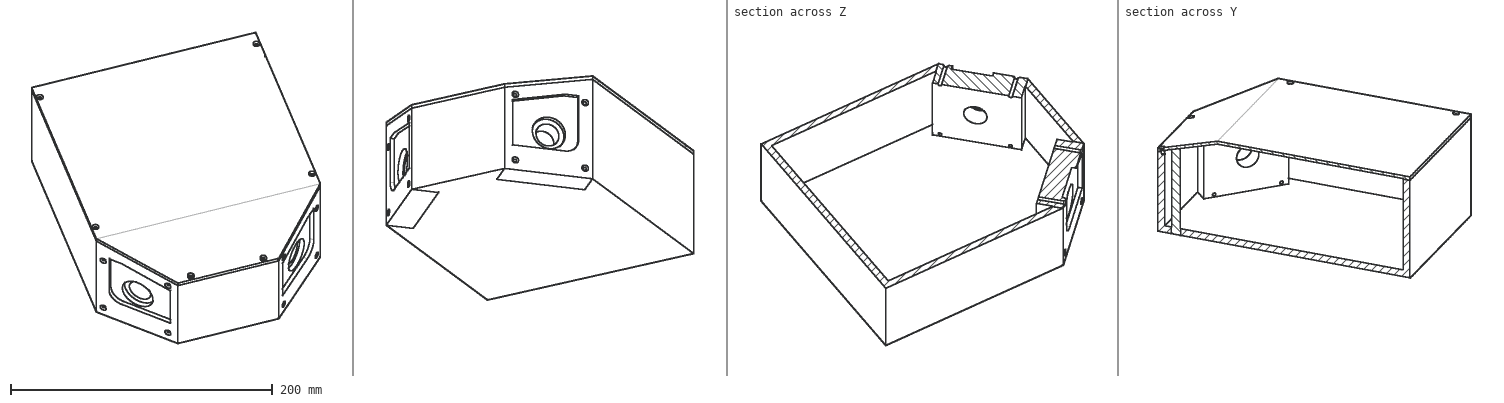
import cadquery as cq
import math

LENGTH = 209.5
WIDTH = 180.0
HEIGHT = 86.0
BODY_LENGTH = 160.0
NOSE_LENGTH = LENGTH - BODY_LENGTH
NOSE_HALF_WIDTH = WIDTH / 2 - NOSE_LENGTH
NOSE_DROP = 15.3
NOSE_SLOPE = NOSE_DROP / NOSE_LENGTH

WALL = 6.0
LID_THICKNESS = 3.0

SCREW_HEAD_DIAMETER = 5.0
SCREW_DIAMETER = 2.5
COUNTERSINK_ANGLE = 90.0
SCREW_EDGE_OFFSET = WALL / 2
LID_SCREW_REAR_X = 11.0
LID_SCREW_FRONT_X = 148.7
NOSE_SCREW_HALF_SPACING = 29.1
LID_SCREW_DEPTH = 5.9

PANEL_LENGTH = NOSE_LENGTH * math.sqrt(2)
PANEL_THICKNESS = 21.4
PANEL_SCREWS_ALONG = (5.9, PANEL_LENGTH - 8.5)
PANEL_SCREWS_Z = (8.2, 63.0)

RECESS_START = 10.9
RECESS_END = 63.5
RECESS_BOTTOM = 20.5
RECESS_TOP = 68.0
RECESS_END_TOP = 58.5
RECESS_FLAT = 10.9
RECESS_CORNER_RADIUS = 10.9
RECESS_DEPTH = 3.4
BORE_ALONG = 33.7
BORE_Z = 35.6
BORE_DIAMETER = 18.2
COUNTERBORE_DIAMETER = 26.2
COUNTERBORE_DEPTH = 4.0


def plan_outline():
    """Closed plan outline of the enclosure, ready to be extruded or offset."""
    half_width = WIDTH / 2
    outline = [
        (0, -half_width),
        (BODY_LENGTH, -half_width),
        (LENGTH, -NOSE_HALF_WIDTH),
        (LENGTH, NOSE_HALF_WIDTH),
        (BODY_LENGTH, half_width),
        (0, half_width),
    ]
    return cq.Workplane("XY").polyline(outline).close()


def roof_height(x, below_top):
    """Height of the roof line at x, lowered by below_top."""
    return HEIGHT - below_top - max(0, x - BODY_LENGTH) * NOSE_SLOPE


def under_roof(below_top):
    """Full-width block that lies under the roof line lowered by below_top."""
    profile = [(0, 0), (LENGTH, 0)]
    profile += [(x, roof_height(x, below_top)) for x in (LENGTH, BODY_LENGTH, 0)]
    return cq.Workplane("XZ").polyline(profile).close().extrude(WIDTH / 2, both=True)


def countersunk_cutter(depth):
    """Screw hole running from the origin in -Z, with its conical head seat at the top."""
    head_radius = SCREW_HEAD_DIAMETER / 2
    shank_radius = SCREW_DIAMETER / 2
    seat_depth = (head_radius - shank_radius) / math.tan(math.radians(COUNTERSINK_ANGLE / 2))
    profile = [
        (0, 0),
        (head_radius, 0),
        (shank_radius, -seat_depth),
        (shank_radius, -depth),
        (0, -depth),
    ]
    return cq.Workplane("XZ").polyline(profile).close().revolve(360, (0, 0, 0), (0, 1, 0))


def lid_screw_cutters():
    """Screw hole cutters through the lid into the walls, square to the lid surface."""
    side_y = WIDTH / 2 - SCREW_EDGE_OFFSET
    nose_x = LENGTH - SCREW_EDGE_OFFSET
    slope_angle = math.degrees(math.atan(NOSE_SLOPE))
    straight_hole = countersunk_cutter(LID_SCREW_DEPTH)
    nose_hole = straight_hole.rotate((0, 0, 0), (0, 1, 0), slope_angle)
    cutters = cq.Workplane("XY")
    for side in (-1, 1):
        for x in (LID_SCREW_REAR_X, LID_SCREW_FRONT_X):
            cutters.add(straight_hole.translate((x, side * side_y, HEIGHT)))
        nose_y = side * NOSE_SCREW_HALF_SPACING
        cutters.add(nose_hole.translate((nose_x, nose_y, roof_height(nose_x, 0))))
    return cutters


def panel_plane():
    """Outer nose face on the -Y side: x runs along the panel, y runs up."""
    return cq.Plane(origin=(BODY_LENGTH, -WIDTH / 2, 0), xDir=(1, 1, 0), normal=(1, -1, 0))


def panel_blank():
    """Panel before it is cut, filling the nose face from the base to the lid."""
    face = cq.Workplane(panel_plane()).rect(PANEL_LENGTH, HEIGHT, centered=False)
    block = face.extrude(-PANEL_THICKNESS)
    return block.intersect(under_roof(LID_THICKNESS))


def recess_cutter():
    """Recess with a top edge that falls like the roof and one rounded lower corner."""
    slope_start = RECESS_START + RECESS_FLAT
    arc_centre = (RECESS_START + RECESS_CORNER_RADIUS, RECESS_BOTTOM + RECESS_CORNER_RADIUS)
    arc_reach = RECESS_CORNER_RADIUS * math.sqrt(0.5)
    return (
        cq.Workplane(panel_plane())
        .moveTo(RECESS_START, RECESS_TOP)
        .lineTo(slope_start, RECESS_TOP)
        .lineTo(RECESS_END, RECESS_END_TOP)
        .lineTo(RECESS_END, RECESS_BOTTOM)
        .lineTo(arc_centre[0], RECESS_BOTTOM)
        .threePointArc(
            (arc_centre[0] - arc_reach, arc_centre[1] - arc_reach),
            (RECESS_START, arc_centre[1]),
        )
        .close()
        .extrude(-RECESS_DEPTH)
    )


def bore_cutter(diameter, depth):
    """Round hole at the bore position, running from the outer face to the given depth."""
    return cq.Workplane(panel_plane()).center(BORE_ALONG, BORE_Z).circle(diameter / 2).extrude(-depth)


def make_side_panel():
    """Panel on the -Y side of the nose."""
    panel = panel_blank().cut(recess_cutter())
    panel = panel.cut(bore_cutter(COUNTERBORE_DIAMETER, RECESS_DEPTH + COUNTERBORE_DEPTH))
    panel = panel.cut(bore_cutter(BORE_DIAMETER, PANEL_THICKNESS))
    plane = panel_plane()
    for along in PANEL_SCREWS_ALONG:
        for z in PANEL_SCREWS_Z:
            hole = countersunk_cutter(PANEL_THICKNESS).val().moved(cq.Location(plane))
            offset = plane.toWorldCoords((along, z)) - plane.origin
            panel = panel.cut(cq.Workplane(hole.translate(offset)))
    return panel


def drill_lid_screws(body):
    """Cut every lid screw hole out of a body."""
    for cutter in lid_screw_cutters().vals():
        body = body.cut(cq.Workplane(cutter))
    return body


def make_lid():
    """Sheet that follows the flat roof and the sloping nose."""
    lid = plan_outline().extrude(HEIGHT).intersect(under_roof(0)).cut(under_roof(LID_THICKNESS))
    return drill_lid_screws(lid)


def make_housing():
    """Open-topped box whose nose corners are left open for the side panels."""
    housing = plan_outline().extrude(HEIGHT).intersect(under_roof(LID_THICKNESS))
    cavity = plan_outline().offset2D(-WALL).extrude(HEIGHT).translate((0, 0, WALL))
    housing = housing.cut(cavity)
    panel_space = panel_blank()
    housing = housing.cut(panel_space).cut(panel_space.mirror("XZ"))
    return drill_lid_screws(housing)


lid = make_lid()
housing = make_housing()
near_panel = make_side_panel()
side_panels = [near_panel, near_panel.mirror("XZ")]

result = cq.Compound.makeCompound([
    housing.solids().val(),
    lid.solids().val(),
    *[panel.solids().val() for panel in side_panels],
])